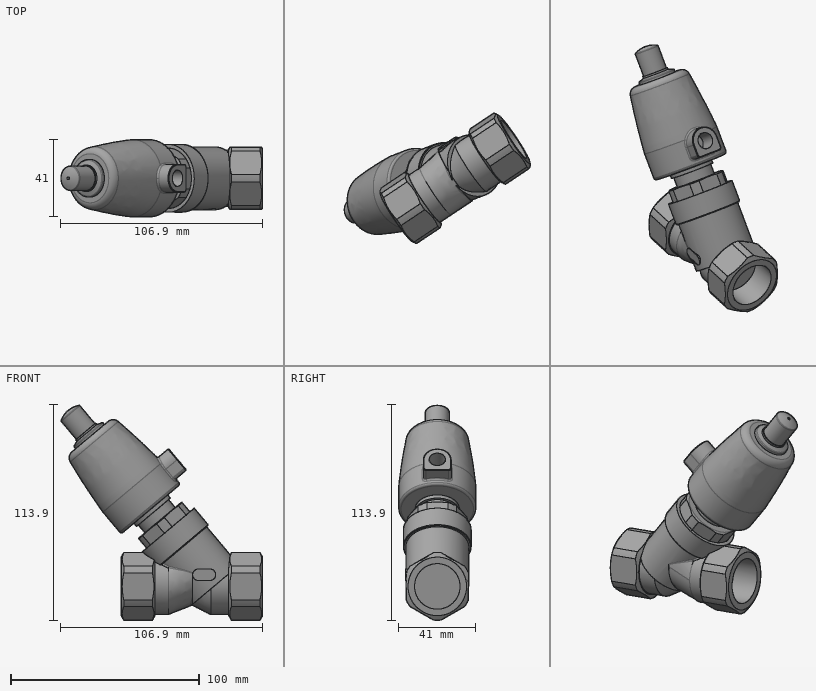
import cadquery as cq
import math

BRANCH_X = 12.55
TILT = 40.0

PIPE_LENGTH = 75.0
PIPE_R = 15.0
HEX_LENGTH = 18.0
HEX_FLATS = 33.0
HEX_CORNER_D = 36.0
HEX_FACE_D = 31.0
HEX_CHAMFER_ANGLE = 30.0
BORE_D = 24.12
BORE_DEPTH = 15.0

WAIST_INLET_X = -12.5
WAIST_OUTLET_X = 10.0
WAIST_X = 0.2
WAIST_DEPTH = 10.0
INLET_THROAT_R = 16.0

BRANCH_R = 16.7
BRANCH_BASE_H = 0.6
COLLAR_R = 18.0
COLLAR_BASE_H = 27.2
COLLAR_TOP_H = 39.0
COLLAR_CHAMFER = 0.4
SEAT_DEPTH = 4.0
SEAT_H = COLLAR_TOP_H - SEAT_DEPTH
BODY_FILLET = 0.8

PAD_X = 6.5
PAD_Z = 6.17
PAD_LENGTH = 12.2
PAD_WIDTH = 6.1
PAD_Y = 16.9

NUT_FLATS = 30.0
NUT_CORNER_D = 32.0
NUT_FACE_D = 29.0
NUT_CHAMFER_ANGLE = 15.0
NUT_TOP_H = 45.8
NECK_D = 21.0

FLANGE_D = 23.5
FLANGE_BASE_H = 51.2

CASING_R = 20.5
CASING_BASE_H = 53.4
CASING_BASE_FILLET = 1.3
CASING_TAPER_H = 68.5
CASING_MID_R = 18.7
CASING_MID_H = 86.0
CASING_SHOULDER_R = 16.7
CASING_SHOULDER_H = 100.0
CASING_TOP_R = 13.0
CASING_TOP_H = 103.5

PORT_WIDTH = 14.8
PORT_H = 64.5
PORT_REACH = 27.8
PORT_CORNER_R = 1.5
PORT_CHAMFER = 0.4
PORT_ROOT_FILLET = 1.0
PORT_HOLE_D = 8.57
PORT_HOLE_DEPTH = 12.0
MARGIN = 0.1

RING_R = 10.0
RING_EDGE_R = 0.5
RING_EDGE_H = 104.7
RING_BOSS_D = 14.0
RING_CONE_TOP_H = 106.1
RING_TOP_H = 107.1

INDICATOR_R = 6.5
INDICATOR_EDGE_H = 119.84
INDICATOR_FILLET = 0.5
INDICATOR_TOP_H = 121.6
INDICATOR_HOLE_D = 1.5
INDICATOR_HOLE_DEPTH = 2.0


def on_branch(shape):
    """Move a shape built around the Z axis onto the tilted actuator axis."""
    return shape.rotate((0, 0, 0), (0, 1, 0), -TILT).translate((BRANCH_X, 0, 0))


def disc(diameter, base, top):
    return cq.Workplane("XY").workplane(offset=base).circle(diameter / 2).extrude(top - base)


def hexagon_bar(flats, corner_d, face_d, chamfer_angle, base, top, chamfer_base=True):
    """Hexagon along Z with turned corners, corners facing Y and chamfers at its ends."""
    reach = corner_d / 2
    face = face_d / 2
    drop = (reach - face) * math.tan(math.radians(chamfer_angle))
    blank = cq.Workplane("XZ").moveTo(0, base)
    if chamfer_base:
        blank = blank.lineTo(face, base).lineTo(reach, base + drop)
    else:
        blank = blank.lineTo(reach, base)
    blank = blank.lineTo(reach, top - drop).lineTo(face, top).lineTo(0, top).close()
    blank = blank.revolve(360, (0, 0, 0), (0, 1, 0))
    across_corners = flats / math.cos(math.pi / 6)
    prism = cq.Workplane("XY").workplane(offset=base).transformed(rotate=(0, 0, 90))
    prism = prism.polygon(6, across_corners).extrude(top - base)
    return blank.intersect(prism)


def hexagon_end(side):
    """Hexagon at one end of the pipe: -1 is the inlet, +1 the outlet."""
    end = PIPE_LENGTH / 2
    hexagon = hexagon_bar(
        HEX_FLATS, HEX_CORNER_D, HEX_FACE_D, HEX_CHAMFER_ANGLE,
        end - HEX_LENGTH, end,
    )
    return hexagon.rotate((0, 0, 0), (0, 0, 1), 90).rotate((0, 0, 0), (0, 1, 0), 90 * side)


def pipe_arm(side, waist_end, throat_r):
    """Round pipe that narrows below the branch to a throat of the given radius."""
    pipe = cq.Workplane("YZ").workplane(offset=waist_end).circle(PIPE_R)
    pipe = pipe.extrude(side * (PIPE_LENGTH - HEX_LENGTH) / 2 - waist_end)
    waist = cq.Workplane("YZ").workplane(offset=waist_end).circle(PIPE_R)
    waist = waist.workplane(offset=WAIST_X - waist_end).center(0, throat_r - WAIST_DEPTH)
    return pipe.union(waist.circle(throat_r).loft())


def bore(side):
    mouth = cq.Workplane("YZ").workplane(offset=side * PIPE_LENGTH / 2)
    return mouth.circle(BORE_D / 2).extrude(-side * BORE_DEPTH)


def make_valve_body():
    branch = disc(2 * BRANCH_R, BRANCH_BASE_H, COLLAR_TOP_H).rotate((0, 0, 0), (0, 0, 1), 90)
    collar = disc(2 * COLLAR_R, COLLAR_BASE_H, COLLAR_TOP_H).faces("<Z").chamfer(COLLAR_CHAMFER)
    collar = collar.rotate((0, 0, 0), (0, 0, 1), 90)
    body = on_branch(branch).union(pipe_arm(-1, WAIST_INLET_X, INLET_THROAT_R))
    body = body.edges("%BSPLINE").fillet(BODY_FILLET)
    body = body.union(pipe_arm(1, WAIST_OUTLET_X, WAIST_DEPTH)).union(on_branch(collar))
    for side in (-1, 1):
        body = body.union(hexagon_end(side))
    pad = cq.Workplane("XZ", origin=(PAD_X, 0, PAD_Z)).slot2D(PAD_LENGTH, PAD_WIDTH).extrude(PAD_Y)
    body = body.union(pad)
    for side in (-1, 1):
        body = body.cut(bore(side))
    return body.cut(on_branch(disc(NUT_CORNER_D, SEAT_H, COLLAR_TOP_H)))


def make_bonnet_nut():
    nut = hexagon_bar(
        NUT_FLATS, NUT_CORNER_D, NUT_FACE_D, NUT_CHAMFER_ANGLE,
        SEAT_H, NUT_TOP_H, chamfer_base=False,
    )
    return nut.union(disc(NECK_D, NUT_TOP_H, CASING_BASE_H))


def make_flange():
    return disc(FLANGE_D, FLANGE_BASE_H, CASING_BASE_H).cut(disc(NECK_D, FLANGE_BASE_H, CASING_BASE_H))


def make_casing():
    shell = (
        cq.Workplane("XZ")
        .moveTo(0, CASING_BASE_H)
        .lineTo(CASING_R, CASING_BASE_H)
        .lineTo(CASING_R, CASING_TAPER_H)
        .threePointArc((CASING_MID_R, CASING_MID_H), (CASING_SHOULDER_R, CASING_SHOULDER_H))
        .tangentArcPoint((CASING_TOP_R, CASING_TOP_H), relative=False)
        .lineTo(0, CASING_TOP_H)
        .close()
        .revolve(360, (0, 0, 0), (0, 1, 0))
        .faces("<Z").edges().fillet(CASING_BASE_FILLET)
    )
    half = PORT_WIDTH / 2
    port_plane = cq.Workplane("YZ", origin=(0, 0, PORT_H))
    port = (
        port_plane
        .moveTo(half, 0)
        .threePointArc((0, half), (-half, 0))
        .lineTo(-half, -half)
        .lineTo(half, -half)
        .close()
        .extrude(PORT_REACH)
        .edges("|X and <Z").fillet(PORT_CORNER_R)
        .faces(">X").chamfer(PORT_CHAMFER)
    )
    casing = shell.union(port)
    root = cq.selectors.BoxSelector(
        (CASING_SHOULDER_R, -half - MARGIN, PORT_H - half - MARGIN),
        (CASING_R + MARGIN, half + MARGIN, PORT_H + half + MARGIN),
    )
    casing = casing.edges(root).fillet(PORT_ROOT_FILLET)
    hole = port_plane.workplane(offset=PORT_REACH).circle(PORT_HOLE_D / 2).extrude(-PORT_HOLE_DEPTH)
    return casing.cut(hole)


def make_ring():
    ring = (
        cq.Workplane("XZ")
        .moveTo(INDICATOR_R, CASING_TOP_H)
        .lineTo(RING_R, CASING_TOP_H)
        .lineTo(RING_R, RING_EDGE_H)
        .tangentArcPoint((-RING_EDGE_R, RING_EDGE_R))
        .lineTo(RING_BOSS_D / 2, RING_CONE_TOP_H)
        .lineTo(RING_BOSS_D / 2, RING_TOP_H)
        .lineTo(INDICATOR_R, RING_TOP_H)
        .close()
    )
    return ring.revolve(360, (0, 0, 0), (0, 1, 0))


def make_indicator():
    rise = INDICATOR_TOP_H - INDICATOR_EDGE_H
    dome_r = (INDICATOR_R ** 2 + rise ** 2) / (2 * rise)
    half_angle = math.asin(INDICATOR_R / dome_r) / 2
    mid = (dome_r * math.sin(half_angle), INDICATOR_TOP_H - dome_r * (1 - math.cos(half_angle)))
    stem = (
        cq.Workplane("XZ")
        .moveTo(0, CASING_TOP_H)
        .lineTo(INDICATOR_R, CASING_TOP_H)
        .lineTo(INDICATOR_R, INDICATOR_EDGE_H)
        .threePointArc(mid, (0, INDICATOR_TOP_H))
        .close()
        .revolve(360, (0, 0, 0), (0, 1, 0))
        .faces(">Z").edges().fillet(INDICATOR_FILLET)
    )
    return stem.cut(disc(INDICATOR_HOLE_D, INDICATOR_TOP_H - INDICATOR_HOLE_DEPTH, INDICATOR_TOP_H))


valve_body = make_valve_body()
bonnet_nut = on_branch(make_bonnet_nut())
flange = on_branch(make_flange())
casing = on_branch(make_casing())
ring = on_branch(make_ring())
indicator = on_branch(make_indicator())

result = cq.Compound.makeCompound([
    valve_body.val(),
    bonnet_nut.val(),
    flange.val(),
    casing.val(),
    ring.val(),
    indicator.val(),
])